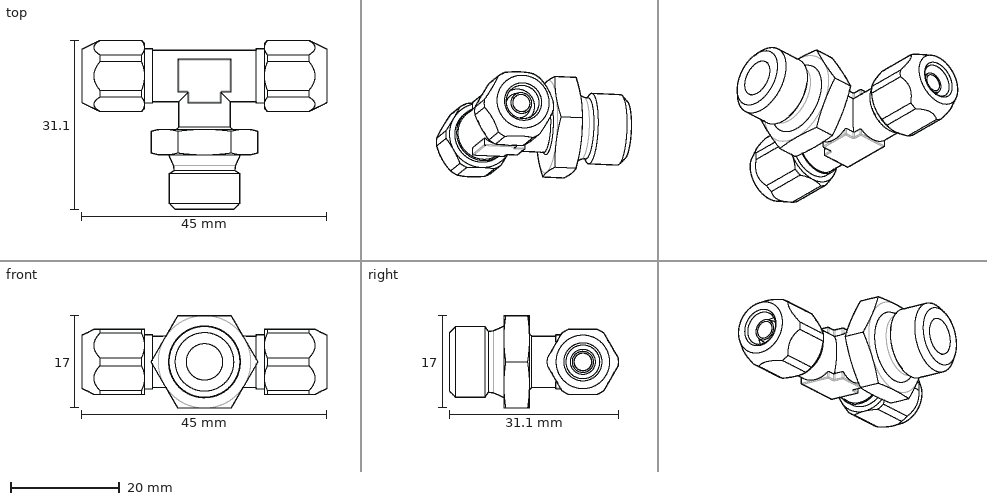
import cadquery as cq
import math


RUN_HALF_LENGTH = 22.5
TUBE_RADIUS = 4.75
COLLAR_RADIUS = 5.0
COLLAR_START = 9.5

NUT_LENGTH = 11.5
NUT_ACROSS_FLATS = 12.0
NUT_CORNER_RADIUS = 6.55
NUT_NOSE_RADIUS = 4.92
NUT_NOSE_LENGTH = 3.3
NUT_BACK_CHAMFER = 0.55

PASSAGE_RADIUS = 1.6
ENTRY_RADIUS = 3.1
ENTRY_CHAMFER = 0.4
ENTRY_DEPTH = 4.0
SPIGOT_BASE_RADIUS = 2.3
SPIGOT_TIP_RADIUS = 1.95
SPIGOT_TIP_DEPTH = 1.4

HEX_ACROSS_FLATS = 17.0
HEX_BACK = 9.8
HEX_FRONT = 14.5
HEX_CHAMFER_DEPTH = 0.35
STEM_FLARE = 0.4

BRANCH_LENGTH = 24.5
SEAT_RADIUS = 6.6
SEAT_END_RADIUS = 5.72
SEAT_END = 16.45
NECK_RADIUS = 5.6
NECK_END = 17.35
THREAD_START = 17.95
THREAD_RADIUS = 6.5
THREAD_CHAMFER = 1.12

BORE_RADIUS = 3.35
DRILL_POINT_ANGLE = 118.0

PAD_HEIGHT = 5.0
PAD_HALF_WIDTH = 4.9
PAD_BACK = 3.1
PAD_SHOULDER = -2.95
PAD_TAIL_HALF_WIDTH = 3.05
PAD_TAIL_END = -5.0
PAD_CORNER_ROUND = 0.2
PAD_RIM_ROUND = 0.18


def revolve_about_x(profile):
    """Revolve a closed (x, radius) profile about the run axis."""
    return profile.close().revolve(360, (0, 0, 0), (1, 0, 0))


def revolve_about_branch(profile):
    """Revolve a closed (radius, y) profile about the branch axis."""
    return profile.close().revolve(360, (0, 0, 0), (0, 1, 0))


def hex_corner_radius(across_flats):
    return across_flats / math.sqrt(3)


def make_run():
    inside_nut = RUN_HALF_LENGTH - NUT_LENGTH / 2
    return revolve_about_x(
        cq.Workplane("XY")
        .moveTo(-inside_nut, 0)
        .lineTo(-inside_nut, COLLAR_RADIUS)
        .lineTo(-COLLAR_START, COLLAR_RADIUS)
        .lineTo(-COLLAR_START, TUBE_RADIUS)
        .lineTo(COLLAR_START, TUBE_RADIUS)
        .lineTo(COLLAR_START, COLLAR_RADIUS)
        .lineTo(inside_nut, COLLAR_RADIUS)
        .lineTo(inside_nut, 0)
    )


def make_nut():
    """Hexagon nut on the +X end, flats facing +Z and -Z, turned at its corners and both ends."""
    back = RUN_HALF_LENGTH - NUT_LENGTH
    prism = (
        cq.Workplane("YZ", origin=(back, 0, 0))
        .polygon(6, 2 * hex_corner_radius(NUT_ACROSS_FLATS))
        .extrude(NUT_LENGTH)
    )
    envelope = revolve_about_x(
        cq.Workplane("XY")
        .moveTo(back, 0)
        .lineTo(back, NUT_CORNER_RADIUS - NUT_BACK_CHAMFER)
        .lineTo(back + NUT_BACK_CHAMFER, NUT_CORNER_RADIUS)
        .lineTo(RUN_HALF_LENGTH - NUT_NOSE_LENGTH, NUT_CORNER_RADIUS)
        .lineTo(RUN_HALF_LENGTH, NUT_NOSE_RADIUS)
        .lineTo(RUN_HALF_LENGTH, 0)
    )
    return prism.intersect(envelope)


def make_passage():
    """Straight hole through the whole run."""
    return (
        cq.Workplane("YZ", origin=(-RUN_HALF_LENGTH, 0, 0))
        .circle(PASSAGE_RADIUS)
        .extrude(2 * RUN_HALF_LENGTH)
    )


def make_entry():
    """Tube socket cut into the +X face, leaving a tapered spigot standing in its middle."""
    floor = RUN_HALF_LENGTH - ENTRY_DEPTH
    spigot_tip = RUN_HALF_LENGTH - SPIGOT_TIP_DEPTH
    return revolve_about_x(
        cq.Workplane("XY")
        .moveTo(spigot_tip, 0)
        .lineTo(spigot_tip, SPIGOT_TIP_RADIUS)
        .lineTo(floor, SPIGOT_BASE_RADIUS)
        .lineTo(floor, ENTRY_RADIUS)
        .lineTo(RUN_HALF_LENGTH - ENTRY_CHAMFER, ENTRY_RADIUS)
        .lineTo(RUN_HALF_LENGTH, ENTRY_RADIUS + ENTRY_CHAMFER)
        .lineTo(RUN_HALF_LENGTH, 0)
    )


def make_branch():
    """Stem with a flared foot, then sealing cone, shallow tapered neck and chamfered thread body."""
    inside_hex = (HEX_BACK + HEX_FRONT) / 2
    return revolve_about_branch(
        cq.Workplane("XY")
        .moveTo(0, 0)
        .lineTo(TUBE_RADIUS, 0)
        .lineTo(TUBE_RADIUS, -(HEX_BACK - STEM_FLARE))
        .lineTo(TUBE_RADIUS + STEM_FLARE, -HEX_BACK)
        .lineTo(TUBE_RADIUS + STEM_FLARE, -inside_hex)
        .lineTo(SEAT_RADIUS, -inside_hex)
        .lineTo(SEAT_RADIUS, -HEX_FRONT)
        .lineTo(SEAT_END_RADIUS, -SEAT_END)
        .lineTo(NECK_RADIUS, -NECK_END)
        .lineTo(THREAD_RADIUS, -THREAD_START)
        .lineTo(THREAD_RADIUS, -(BRANCH_LENGTH - THREAD_CHAMFER))
        .lineTo(THREAD_RADIUS - THREAD_CHAMFER, -BRANCH_LENGTH)
        .lineTo(0, -BRANCH_LENGTH)
    )


def make_hexagon():
    """Wrench hexagon of the branch, corners on the X axis, chamfered on both faces."""
    corner = hex_corner_radius(HEX_ACROSS_FLATS)
    face_radius = HEX_ACROSS_FLATS / 2
    prism = (
        cq.Workplane("XZ", origin=(0, -HEX_BACK, 0))
        .polygon(6, 2 * corner)
        .extrude(HEX_FRONT - HEX_BACK)
    )
    envelope = revolve_about_branch(
        cq.Workplane("XY")
        .moveTo(0, -HEX_BACK)
        .lineTo(face_radius, -HEX_BACK)
        .lineTo(corner, -(HEX_BACK + HEX_CHAMFER_DEPTH))
        .lineTo(corner, -(HEX_FRONT - HEX_CHAMFER_DEPTH))
        .lineTo(face_radius, -HEX_FRONT)
        .lineTo(0, -HEX_FRONT)
    )
    return prism.intersect(envelope)


def make_branch_bore():
    """Blind drilled hole whose full diameter ends level with the back of the hexagon."""
    tip_length = BORE_RADIUS / math.tan(math.radians(DRILL_POINT_ANGLE / 2))
    return revolve_about_branch(
        cq.Workplane("XY")
        .moveTo(0, -BRANCH_LENGTH)
        .lineTo(BORE_RADIUS, -BRANCH_LENGTH)
        .lineTo(BORE_RADIUS, -HEX_BACK)
        .lineTo(0, -HEX_BACK + tip_length)
    )


def make_pads():
    """T-shaped block through the junction whose two ends form the raised pads."""
    right_half = [
        (PAD_HALF_WIDTH, PAD_BACK),
        (PAD_HALF_WIDTH, PAD_SHOULDER),
        (PAD_TAIL_HALF_WIDTH, PAD_SHOULDER),
        (PAD_TAIL_HALF_WIDTH, PAD_TAIL_END),
    ]
    left_half = [(-x, y) for x, y in reversed(right_half)]
    return (
        cq.Workplane("XY")
        .polyline(right_half + left_half)
        .close()
        .extrude(PAD_HEIGHT, both=True)
        .edges("|Z")
        .edges("not(>Y)")
        .fillet(PAD_CORNER_ROUND)
        .faces("|Z")
        .edges()
        .fillet(PAD_RIM_ROUND)
    )


def both_run_ends(shape):
    return shape.union(shape.mirror("YZ"))


body = make_run().union(make_branch())
body = body.union(make_pads()).union(make_hexagon()).union(both_run_ends(make_nut()))
result = body.cut(make_passage()).cut(both_run_ends(make_entry())).cut(make_branch_bore())